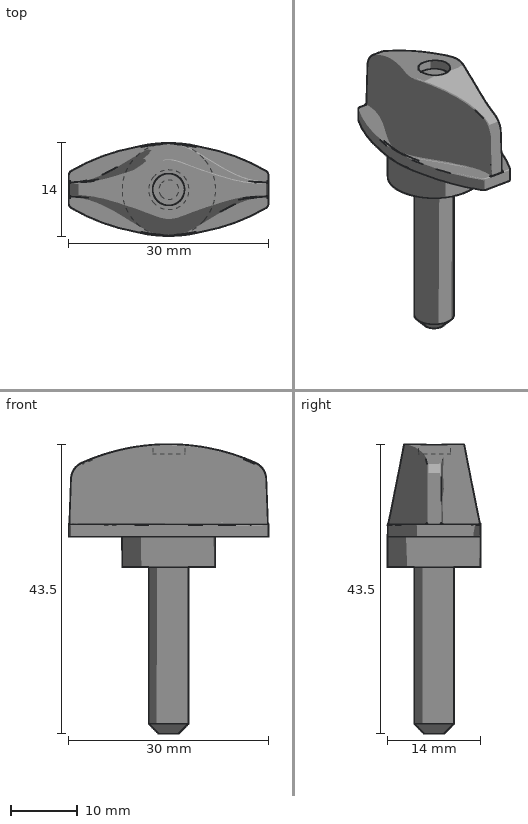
import cadquery as cq
import math

TOTAL_HEIGHT = 43.5
FLANGE_LENGTH = 30
HUB_DIAMETER = 14.0

STUD_DIAMETER = 6.0
STUD_TIP_CHAMFER = 1.52
HUB_BOTTOM = 25.0

FLANGE_BOTTOM = 29.6
FLANGE_TOP = 31.5
FLANGE_END_HALF_WIDTH = 2.55
FLANGE_BREAK_X = 5.05
FLANGE_BREAK_Y = 6.35
FLANGE_SIDE_MID_X = 10.3
FLANGE_SIDE_MID_Y = 4.87
FLANGE_CORNER_RADIUS = 0.85
FLANGE_EDGE_RADIUS = 0.2

WING_END_HALF_WIDTH = 1.1
FOOT_HALF_LENGTH = 14.9
FOOT_PEAK = 6.9
FOOT_NOSE = (5.2, 4.9)
FOOT_FLANK = (9.65, 2.35)
TOP_PEAK = 4.52
TOP_NOSE = (3.05, 3.65)
TOP_FLANK = (7.0, 2.2)
END_DRAFT_INSET = 0.45
TOP_HALF_LENGTH = FOOT_HALF_LENGTH - END_DRAFT_INSET
CROWN_RADIUS = 31.75
SHOULDER_RADIUS = 2.83
WING_EDGE_RADIUS = 0.2
WING_ROOT_RADIUS = 0.2

RECESS_DIAMETER = 4.8
RECESS_DEPTH = 1.5


def make_stud():
    stud = cq.Workplane("XY").circle(STUD_DIAMETER / 2).extrude(HUB_BOTTOM)
    return stud.faces("<Z").chamfer(STUD_TIP_CHAMFER)


def make_hub():
    hub = cq.Workplane("XY").workplane(offset=HUB_BOTTOM)
    return hub.circle(HUB_DIAMETER / 2).extrude(FLANGE_BOTTOM - HUB_BOTTOM)


def make_flange():
    end_x = FLANGE_LENGTH / 2
    outline = cq.Workplane("XY").workplane(offset=FLANGE_BOTTOM).moveTo(-end_x, -FLANGE_END_HALF_WIDTH)
    for side in (-1, 1):
        if side == 1:
            outline = outline.lineTo(end_x, FLANGE_END_HALF_WIDTH)
        mid_y = side * FLANGE_SIDE_MID_Y
        break_y = side * FLANGE_BREAK_Y
        outline = (
            outline.threePointArc((side * FLANGE_SIDE_MID_X, mid_y), (side * FLANGE_BREAK_X, break_y))
            .threePointArc((0, side * HUB_DIAMETER / 2), (-side * FLANGE_BREAK_X, break_y))
            .threePointArc((-side * FLANGE_SIDE_MID_X, mid_y), (-side * end_x, side * FLANGE_END_HALF_WIDTH))
        )
    plate = outline.close().extrude(FLANGE_TOP - FLANGE_BOTTOM)
    return plate.edges("|Z and (<X or >X)").fillet(FLANGE_CORNER_RADIUS)


def wing_outline(plane, half_length, flank, nose, peak):
    """Two smooth sides, each swelling from a narrow end over flank and nose to the peak at mid-length."""
    half_side = [(half_length, WING_END_HALF_WIDTH), flank, nose]
    right_side = [(x, -y) for x, y in half_side]
    side_points = [(-x, y) for x, y in right_side] + [(0, -peak)] + right_side[::-1]
    opposite_points = [(-x, -y) for x, y in side_points]

    outline = plane.moveTo(*side_points[0]).spline(side_points[1:], includeCurrent=True)
    outline = outline.lineTo(*opposite_points[0]).spline(opposite_points[1:], includeCurrent=True)
    return outline.close()


def foot_outline():
    plane = cq.Workplane("XY").workplane(offset=FLANGE_TOP)
    return wing_outline(plane, FOOT_HALF_LENGTH, FOOT_FLANK, FOOT_NOSE, FOOT_PEAK)


def make_wing():
    top_plane = foot_outline().workplane(offset=TOTAL_HEIGHT - FLANGE_TOP)
    body = wing_outline(top_plane, TOP_HALF_LENGTH, TOP_FLANK, TOP_NOSE, TOP_PEAK).loft(ruled=True)

    crown_end_z = TOTAL_HEIGHT - CROWN_RADIUS + math.sqrt(CROWN_RADIUS**2 - FOOT_HALF_LENGTH**2)
    side_profile = (
        cq.Workplane("XZ")
        .moveTo(-FOOT_HALF_LENGTH, FLANGE_TOP)
        .lineTo(FOOT_HALF_LENGTH, FLANGE_TOP)
        .lineTo(FOOT_HALF_LENGTH, crown_end_z)
        .threePointArc((0, TOTAL_HEIGHT), (-FOOT_HALF_LENGTH, crown_end_z))
        .close()
    )
    body = body.intersect(side_profile.extrude(HUB_DIAMETER, both=True))
    body = body.edges("|Y").edges(">Z").fillet(SHOULDER_RADIUS)

    return body.faces(">Z").edges("not |Y").fillet(WING_EDGE_RADIUS)


def make_grip():
    """Wing and flange joined by a small root fillet, with a rounded flange rim."""
    flange = make_flange()
    grip = flange.union(make_wing())
    flange_top_face = grip.faces("|Z").faces(">Z").val()
    root_loop = flange_top_face.innerWires()[0]
    grip = grip.newObject(root_loop.Edges()).fillet(WING_ROOT_RADIUS)

    rounded_flange = flange.faces(">Z").edges().fillet(FLANGE_EDGE_RADIUS)
    wing_base = foot_outline().extrude(FLANGE_BOTTOM - FLANGE_TOP)
    rim_waste = flange.cut(rounded_flange).cut(wing_base)
    return grip.cut(rim_waste)


def make_recess():
    recess = cq.Workplane("XY").workplane(offset=TOTAL_HEIGHT - RECESS_DEPTH)
    return recess.circle(RECESS_DIAMETER / 2).extrude(RECESS_DEPTH)


result = make_stud().union(make_hub()).union(make_grip()).cut(make_recess())